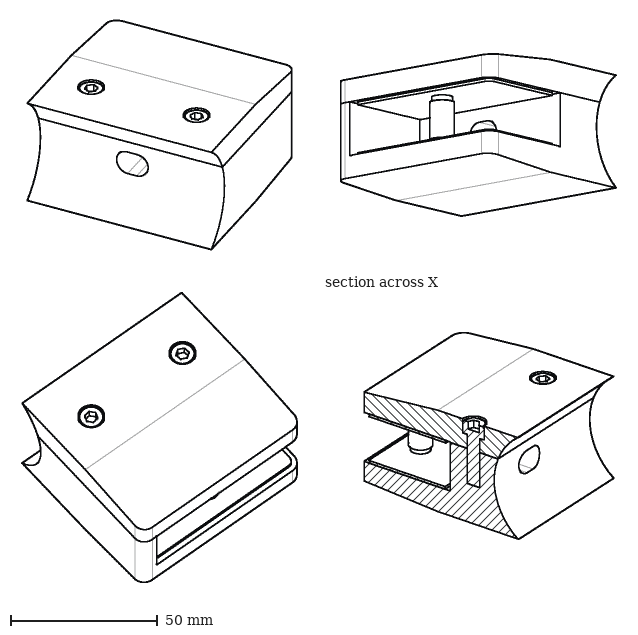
import cadquery as cq
import math


LENGTH = 70.0
DEPTH = 65.1
HEIGHT = 39.3
X_MIN = -LENGTH / 2
CORNER_RADIUS = 4.2

COVER_THICKNESS = 10.8
MOUTH_HEIGHT = 18.7
MOUTH_DEPTH = 36.25
END_WALL = 6.3
MOUTH_TOP = HEIGHT - COVER_THICKNESS
MOUTH_FLOOR = MOUTH_TOP - MOUTH_HEIGHT
MOUTH_MIDDLE = (MOUTH_TOP + MOUTH_FLOOR) / 2
MOUTH_BACK = DEPTH - MOUTH_DEPTH
MOUTH_LENGTH = LENGTH - END_WALL
MOUTH_X = X_MIN + MOUTH_LENGTH / 2

SLOPE_LENGTH = 31.0
TOP_DROP = 2.8
BOTTOM_RISE = 2.0
SLOPE_START = DEPTH - SLOPE_LENGTH

SADDLE_DEPTH = 10.15
TOP_SETBACK = 0.1

SLOT_LENGTH = 12.0
SLOT_HEIGHT = 8.55

PAD_THICKNESS = 1.0
PAD_INSET = 1.95
PAD_LENGTH = MOUTH_LENGTH - 2 * PAD_INSET
PAD_DEPTH = MOUTH_DEPTH - 2 * PAD_INSET
PAD_RADIUS = CORNER_RADIUS - PAD_INSET

PIN_DIAMETER = 8.4
PIN_END_DIAMETER = 7.15
PIN_END_LENGTH = 1.8
PIN_Y = DEPTH - 11.5
PIN_BOTTOM = MOUTH_FLOOR + PAD_THICKNESS
PIN_LENGTH = MOUTH_HEIGHT - 2 * PAD_THICKNESS

SCREW_SPACING = 40.05
SCREW_Y = DEPTH - 46.1
HEAD_DIAMETER = 9.0
HEAD_HEIGHT = 5.0
HEAD_CHAMFER = 0.55
HEAD_RECESS = 0.4
SHANK_DIAMETER = 5.0
SHANK_LENGTH = 18.9
SOCKET_SIDES = 6
SOCKET_FLATS = 4.0
SOCKET_DEPTH = 2.8
SOCKET_ANGLES = (35.0, 10.0)
SCREWS_X = (-SCREW_SPACING / 2, SCREW_SPACING / 2)
HEAD_TOP = HEIGHT - HEAD_RECESS
HEAD_BOTTOM = HEAD_TOP - HEAD_HEIGHT


def box_between(x_range, y_range, z_range):
    size = [high - low for low, high in (x_range, y_range, z_range)]
    corner = (x_range[0], y_range[0], z_range[0])
    return cq.Workplane("XY").box(*size, centered=False).translate(corner)


def clamp_block():
    """Outer shape of body and cover together, with a solid mouth."""
    block = (
        cq.Workplane("YZ", origin=(X_MIN, 0, 0))
        .lineTo(SLOPE_START, 0)
        .lineTo(DEPTH, BOTTOM_RISE)
        .lineTo(DEPTH, HEIGHT - TOP_DROP)
        .lineTo(SLOPE_START, HEIGHT)
        .lineTo(TOP_SETBACK, HEIGHT)
        .threePointArc((SADDLE_DEPTH, HEIGHT / 2), (0, 0))
        .close()
        .extrude(LENGTH)
    )
    return block.edges("|Z and >Y").fillet(CORNER_RADIUS)


def disc(x, y, bottom, diameter, height):
    return cq.Workplane("XY", origin=(x, y, bottom)).circle(diameter / 2).extrude(height)


def screw_hole(x):
    """Counterbore for the head, open at the cover's top, and the hole for the shank."""
    counterbore = disc(x, SCREW_Y, HEAD_BOTTOM, HEAD_DIAMETER, HEIGHT - HEAD_BOTTOM)
    shank_hole = disc(x, SCREW_Y, HEAD_BOTTOM - SHANK_LENGTH, SHANK_DIAMETER, SHANK_LENGTH)
    return counterbore.union(shank_hole)


def cover_space():
    """Everything above the flat joint between body and cover."""
    return box_between((X_MIN, X_MIN + LENGTH), (0, DEPTH), (MOUTH_TOP, HEIGHT))


def make_body(block):
    mouth = box_between((X_MIN, X_MIN + MOUTH_LENGTH), (MOUTH_BACK, DEPTH), (MOUTH_FLOOR, MOUTH_TOP))
    slot = (
        cq.Workplane("XZ", origin=(0, 0, MOUTH_MIDDLE))
        .slot2D(SLOT_LENGTH, SLOT_HEIGHT)
        .extrude(-MOUTH_BACK)
    )
    body = block.cut(cover_space()).cut(mouth).cut(slot)
    for x in SCREWS_X:
        body = body.cut(screw_hole(x))
    return body


def make_cover(block):
    cover = block.intersect(cover_space())
    for x in SCREWS_X:
        cover = cover.cut(screw_hole(x))
    return cover


def make_screw(x, socket_angle):
    head = disc(x, SCREW_Y, HEAD_BOTTOM, HEAD_DIAMETER, HEAD_HEIGHT).faces(">Z").chamfer(HEAD_CHAMFER)
    shank = disc(x, SCREW_Y, HEAD_BOTTOM - SHANK_LENGTH, SHANK_DIAMETER, SHANK_LENGTH)
    socket_corners = SOCKET_FLATS / math.cos(math.pi / SOCKET_SIDES)
    socket = (
        cq.Workplane("XY", origin=(x, SCREW_Y, HEAD_TOP))
        .transformed(rotate=(0, 0, socket_angle))
        .polygon(SOCKET_SIDES, socket_corners)
        .extrude(-SOCKET_DEPTH)
    )
    return head.union(shank).cut(socket)


def make_pad(bottom):
    pad_y = MOUTH_BACK + MOUTH_DEPTH / 2
    return (
        cq.Workplane("XY", origin=(MOUTH_X, pad_y, bottom))
        .rect(PAD_LENGTH, PAD_DEPTH)
        .extrude(PAD_THICKNESS)
        .edges("|Z and >Y and <X")
        .fillet(PAD_RADIUS)
    )


def make_pin():
    """Pin that stands between the pads, centred along the mouth, with thinner ends."""
    barrel_length = PIN_LENGTH - 2 * PIN_END_LENGTH
    core = disc(MOUTH_X, PIN_Y, PIN_BOTTOM, PIN_END_DIAMETER, PIN_LENGTH)
    barrel = disc(MOUTH_X, PIN_Y, PIN_BOTTOM + PIN_END_LENGTH, PIN_DIAMETER, barrel_length)
    return core.union(barrel)


clamp = clamp_block()
clamp_body = make_body(clamp)
clamp_cover = make_cover(clamp)
screws = [make_screw(x, angle) for x, angle in zip(SCREWS_X, SOCKET_ANGLES)]
pads = [make_pad(bottom) for bottom in (MOUTH_FLOOR, MOUTH_TOP - PAD_THICKNESS)]
locking_pin = make_pin()

result = cq.Compound.makeCompound([
    clamp_body.val(),
    clamp_cover.val(),
    *[screw.val() for screw in screws],
    *[pad.val() for pad in pads],
    locking_pin.val(),
])